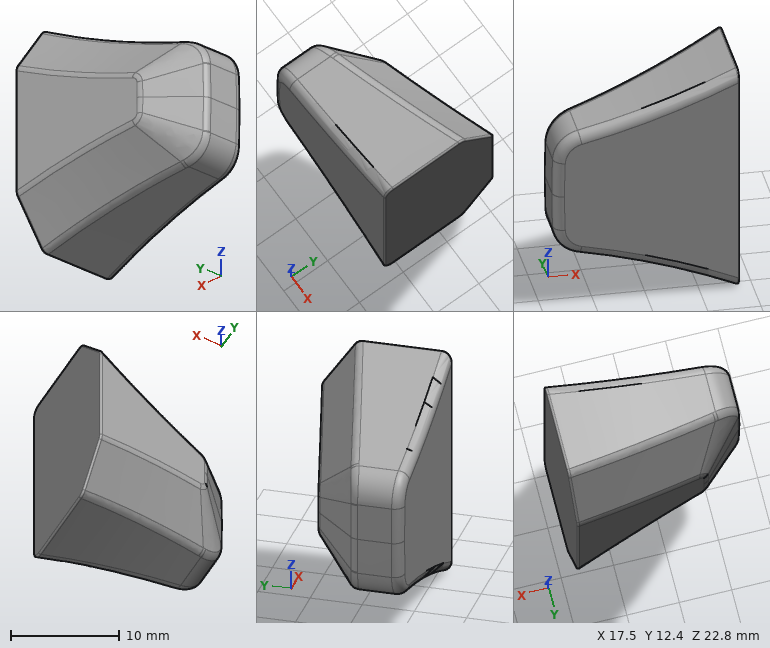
import cadquery as cq
import math

LENGTH = 17.5
REAR_HALF_WIDTH = 11.48
NOSE_HALF_WIDTH = 3.55
NOSE_BOW = 0.07
NOSE_CORNER_RADIUS = 3.0
FLANK_START_ANGLE = 12.5

CREST_LENGTH = 13.15
CREST_REAR_HALF_WIDTH = 6.53
CREST_NOSE_HALF_WIDTH = 1.55
CREST_NOSE_BOW = 0.02
CREST_CORNER_RADIUS = 1.0
CREST_FLANK_START_ANGLE = 13.0

SLOPE_ANGLE = 14.0
RIM_REAR_HEIGHT = 9.02
CREST_REAR_HEIGHT = 12.48

EDGE_RADIUS = 1.0
REAR_EDGE_RADIUS = 0.15


def plan_outline(length, rear_half, nose_half, bow, corner_radius, flank_angle):
    """+Z half of an outline in the XZ plane: bowed nose, round corner, concave flank."""
    bow_angle = 2 * math.atan(bow / nose_half)
    flank = math.radians(flank_angle)
    nose_x = bow - length
    center_x = nose_x + corner_radius * math.cos(bow_angle)
    center_z = nose_half - corner_radius * math.sin(bow_angle)
    flank_x = center_x - corner_radius * math.sin(flank)
    flank_z = center_z + corner_radius * math.cos(flank)

    chord_x = -flank_x
    chord_z = rear_half - flank_z
    half_turn = math.atan2(chord_z, chord_x) - flank
    sagitta_ratio = math.tan(half_turn / 2) / 2
    flank_mid_x = flank_x + chord_x / 2 + sagitta_ratio * chord_z
    flank_mid_z = flank_z + chord_z / 2 - sagitta_ratio * chord_x

    mid_angle = (bow_angle + math.pi / 2 - flank) / 2
    corner_mid_x = center_x - corner_radius * math.cos(mid_angle)
    corner_mid_z = center_z + corner_radius * math.sin(mid_angle)

    nose_mid_x = bow / 4 - length

    return (
        cq.Workplane("XZ")
        .lineTo(0, rear_half)
        .threePointArc((flank_mid_x, flank_mid_z), (flank_x, flank_z))
        .threePointArc((corner_mid_x, corner_mid_z), (nose_x, nose_half))
        .threePointArc((nose_mid_x, nose_half / 2), (-length, 0))
        .close()
    )


def plane_height(rear_height, x):
    """Height at x of a sloping plane that reaches rear_height at the rear face."""
    return rear_height + x * math.tan(math.radians(SLOPE_ANGLE))


def sloped_prism(outline, rear_height):
    """Outline raised from Y = 0 to a plane that rises toward the rear face."""
    nose_height = plane_height(rear_height, -LENGTH)
    side_profile = (
        cq.Workplane("XY")
        .polyline([(0, 0), (0, rear_height), (-LENGTH, nose_height), (-LENGTH, 0)])
        .close()
        .extrude(REAR_HALF_WIDTH)
    )
    return outline.extrude(-rear_height).intersect(side_profile)


def round_ring(solid, nose_x, nose_y, nose_half):
    """Round a nose edge and the corner and flank edges that continue it smoothly."""
    nose_middle = (nose_x, nose_y, nose_half / 2)
    nose_edge = cq.selectors.NearestToPointSelector(nose_middle)
    return solid.edges(nose_edge).fillet(EDGE_RADIUS)


wall = sloped_prism(
    plan_outline(LENGTH, REAR_HALF_WIDTH, NOSE_HALF_WIDTH, NOSE_BOW,
                 NOSE_CORNER_RADIUS, FLANK_START_ANGLE),
    RIM_REAR_HEIGHT,
)
crest = sloped_prism(
    plan_outline(CREST_LENGTH, CREST_REAR_HALF_WIDTH, CREST_NOSE_HALF_WIDTH, CREST_NOSE_BOW,
                 CREST_CORNER_RADIUS, CREST_FLANK_START_ANGLE),
    CREST_REAR_HEIGHT,
)

rim_wire = wall.faces(">Y").val().outerWire()
crest_wire = crest.faces(">Y").val().outerWire()
bevel = cq.Solid.makeLoft([rim_wire, crest_wire], True)
body = wall.union(cq.Workplane(bevel))

rim_nose_y = plane_height(RIM_REAR_HEIGHT, -LENGTH)
crest_nose_y = plane_height(CREST_REAR_HEIGHT, -CREST_LENGTH)
body = round_ring(body, -LENGTH, 0, NOSE_HALF_WIDTH)
body = round_ring(body, -LENGTH, rim_nose_y, NOSE_HALF_WIDTH)
body = round_ring(body, -CREST_LENGTH, crest_nose_y, CREST_NOSE_HALF_WIDTH)
body = body.faces(">X").edges("not <Z").fillet(REAR_EDGE_RADIUS)

result = body.union(body.mirror("XY"))